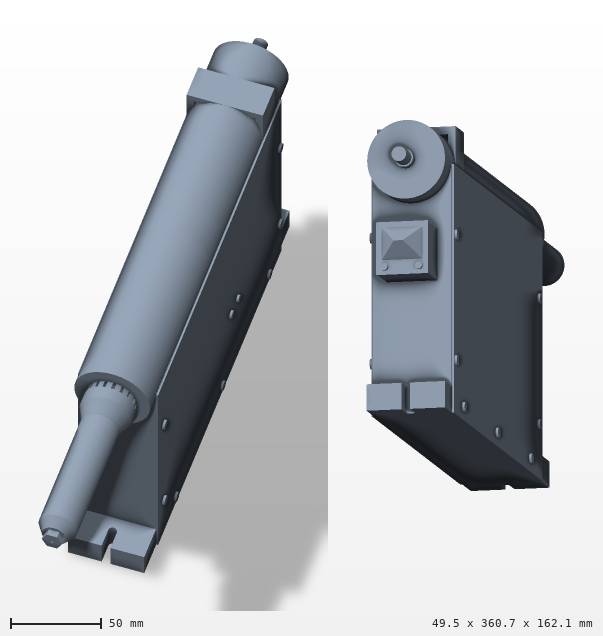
import cadquery as cq

core_width = 44.5
cover_thickness = 1.0
cover_front = 0.5
cover_rear = 212.7
cover_height = 139.0
core_rear_overhang = 1.0
core_length = cover_rear + core_rear_overhang
saddle_length = 26.0
foot_height = 14.8
front_foot_length = 20.2
rear_foot_end = 229.3
slot_width = 5.0
slot_depth = 13.7

screw_diameter = 5.8
screw_head_height = 1.5
screw_row_ends = (9.7, 208.8)
screw_row_heights = (30.0, 100.2)
bottom_screw_height = 7.2
bottom_screw_middle = 110.0
bottom_screw_pitch = 80.0
plug_height = 54.0
plug_places = ((124.8, 5.0), (136.3, 4.5))

connector_width = 29.2
connector_bottom = 74.0
connector_top = 103.5
connector_rear = 238.5
flange_thickness = 1.0
flange_margin = 0.5
roof_middle_height = 91.2
roof_height = 9.0
roof_half_width = 11.5
contact_diameter = 4.0
contact_height = 1.8
contact_spacing = 19.5
contact_middle_height = 78.2

motor_diameter = 44.0
motor_top = 162.0
motor_front = -9.7
motor_rear = 228.5
band_front = 94.0
band_rear = 112.5
cap_front = 204.8
port_collar_diameter = 10.0
port_collar_length = 5.0
port_diameter = 8.3
port_end = 246.0
button_diameter = 5.0
button_drop = 16.0
button_height = 2.0
axis_height = motor_top - motor_diameter / 2

clamp_front = 184.0
clamp_length = 20.0
clamp_wall = 4.5
clamp_roof = 0.1
clamp_top = motor_top + clamp_roof

collar_diameter = 30.0
tooth_tip_diameter = 29.0
tooth_root_diameter = 25.0
tooth_count = 18
tooth_gap = 1.8
tooth_phase = 13.5
tooth_end = -14.0
collar_end = -21.3
quill_diameter = 22.5
quill_start = -30.3
quill_end = -103.0
nose_diameter = 14.5
nose_end = -109.2
hex_across_corners = 12.0
tip_end = -113.2
tip_hole_diameter = 2.0
tip_hole_depth = 2.0


def block(width, y_front, y_rear, z_bottom, z_top):
    """Box centred on X = 0 between the given Y and Z limits."""
    size_y = y_rear - y_front
    size_z = z_top - z_bottom
    return cq.Workplane("XY").box(width, size_y, size_z, centered=(True, False, False)).translate(
        (0, y_front, z_bottom))


def rod(diameter, y_front, y_rear, z=axis_height, x=0):
    """Cylinder along Y between two Y limits."""
    return cq.Workplane("XZ", origin=(x, y_rear, z)).circle(diameter / 2).extrude(y_rear - y_front)


def cone(front_diameter, rear_diameter, y_front, y_rear):
    """Tapered length on the motor axis."""
    return (cq.Workplane("XZ", origin=(0, y_rear, axis_height)).circle(rear_diameter / 2)
            .workplane(offset=y_rear - y_front).circle(front_diameter / 2).loft())


def foot_slot(y_open, direction):
    """Round-ended vertical slot running inwards from the end of a foot."""
    y_round = y_open + direction * (slot_depth - slot_width / 2)
    slot = block(slot_width, min(y_open, y_round), max(y_open, y_round), 0, foot_height)
    round_end = cq.Workplane("XY", origin=(0, y_round, 0)).circle(slot_width / 2).extrude(foot_height)
    return slot.union(round_end)


def screw_head(side, y, z, diameter):
    """Cylindrical head standing on the cover of one side (-1 or +1)."""
    cover_face = core_width / 2 + cover_thickness
    head = cq.Workplane("YZ", origin=(side * cover_face, y, z)).circle(diameter / 2)
    return head.extrude(side * screw_head_height)


def add_screws(body):
    """Cover screws on both sides and two plugs on the +X side."""
    places = [(y, z) for y in screw_row_ends for z in screw_row_heights]
    places += [(bottom_screw_middle + i * bottom_screw_pitch, bottom_screw_height) for i in (-1, 0, 1)]
    for side in (-1, 1):
        for y, z in places:
            body = body.union(screw_head(side, y, z, screw_diameter))
    for y, diameter in plug_places:
        body = body.union(screw_head(1, y, plug_height, diameter))
    return body


def make_connector():
    """Rear socket block with a thin flange, a hipped wedge and two contacts."""
    flange_front = connector_rear - flange_thickness
    body = block(connector_width - 2 * flange_margin, core_length, flange_front,
                 connector_bottom + flange_margin, connector_top - flange_margin)
    body = body.union(block(connector_width, flange_front, connector_rear, connector_bottom, connector_top))

    ridge_y = connector_rear + roof_height
    ridge_half = roof_half_width - roof_height
    side_profile = (cq.Workplane("YZ")
                    .moveTo(connector_rear, roof_middle_height - roof_height)
                    .lineTo(ridge_y, roof_middle_height)
                    .lineTo(connector_rear, roof_middle_height + roof_height)
                    .close().extrude(roof_half_width, both=True))
    plan_profile = (cq.Workplane("XY", origin=(0, 0, connector_bottom))
                    .moveTo(-roof_half_width, connector_rear).lineTo(-ridge_half, ridge_y)
                    .lineTo(ridge_half, ridge_y).lineTo(roof_half_width, connector_rear)
                    .close().extrude(connector_top - connector_bottom))
    body = body.union(side_profile.intersect(plan_profile))

    for side in (-1, 1):
        body = body.union(rod(contact_diameter, connector_rear, connector_rear + contact_height,
                              contact_middle_height, side * contact_spacing / 2))
    return body


def make_clamp():
    """Square frame whose opening shows beside the round motor."""
    rear = clamp_front + clamp_length
    frame = block(core_width, clamp_front, rear, cover_height, clamp_top)
    opening = block(core_width - 2 * clamp_wall, clamp_front, rear, cover_height, clamp_top - clamp_wall)
    return frame.cut(opening)


def make_housing():
    """Core with covers, feet, clamp, connector and screws, hollowed for the motor."""
    body = block(core_width, 0, core_length, 0, cover_height)
    body = body.union(block(core_width, 0, saddle_length, 0, axis_height))
    body = body.union(block(core_width + 2 * cover_thickness, cover_front, cover_rear, 0, cover_height))
    body = body.union(block(core_width, -front_foot_length, rear_foot_end, 0, foot_height))
    body = body.cut(foot_slot(-front_foot_length, 1)).cut(foot_slot(rear_foot_end, -1))
    body = body.union(make_clamp()).union(make_connector())
    body = add_screws(body)
    return body.cut(rod(motor_diameter, motor_front, motor_rear))


def make_button():
    """Small round stop on the front face of the motor, below the spindle."""
    return rod(button_diameter, motor_front - button_height, motor_front, axis_height - button_drop)


def make_motor():
    """Round motor with a stepped rear port and a front button."""
    seams = (band_front, band_rear, cap_front, motor_rear)
    body = rod(motor_diameter, motor_front, band_front)
    for front, rear in zip(seams, seams[1:]):
        body = body.union(rod(motor_diameter, front, rear), clean=False)
    port_collar_end = motor_rear + port_collar_length
    body = body.union(rod(port_collar_diameter, motor_rear, port_collar_end), clean=False)
    body = body.union(rod(port_diameter, port_collar_end, port_end), clean=False)
    return body.union(make_button(), clean=False)


def make_spindle():
    """Toothed collar, tapered quill and hexagonal tip in front of the motor."""
    body = rod(collar_diameter, collar_end, tooth_end)
    body = body.union(rod(tooth_tip_diameter, tooth_end, motor_front))
    body = body.union(cone(quill_diameter, collar_diameter, quill_start, collar_end))
    body = body.union(rod(quill_diameter, quill_end, quill_start))
    body = body.union(cone(nose_diameter, quill_diameter, nose_end, quill_end))
    tip = cq.Workplane("XZ", origin=(0, nose_end, axis_height)).polygon(6, hex_across_corners)
    body = body.union(tip.extrude(nose_end - tip_end))
    body = body.cut(rod(tip_hole_diameter, tip_end, tip_end + tip_hole_depth))

    gap_depth = (collar_diameter - tooth_root_diameter) / 2
    gap = block(tooth_gap, tooth_end, motor_front, axis_height + tooth_root_diameter / 2,
                axis_height + tooth_root_diameter / 2 + gap_depth)
    for i in range(tooth_count):
        turned = gap.rotate((0, 0, axis_height), (0, 1, axis_height), i * 360 / tooth_count - tooth_phase)
        body = body.cut(turned)
    return body.cut(make_button())


housing = make_housing()
motor = make_motor()
spindle = make_spindle()

result = cq.Compound.makeCompound([housing.val(), motor.val(), spindle.val()])